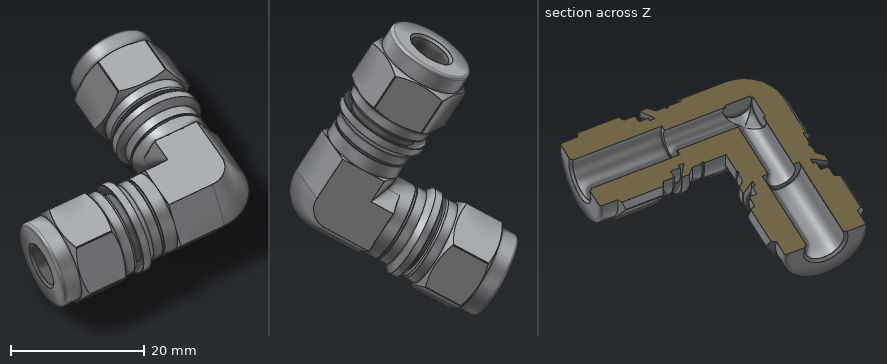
import cadquery as cq
import math


nut_hex_start = 2.97
nut_hex_end = 10.7
nut_end = 12.6
flange_start = 13.58
neck_end = 14.2
flange_rim_end = 14.83
groove_start = 17.4
groove_end = 17.8
elbow_start = 20.02

nut_across_flats = 14.3
nut_corner_radius = 8.2
overall_size = 35.82
arm_length = overall_size - nut_corner_radius
nose_radius = 13.9 / 2
nose_fillet = 0.45
skirt_radius = 13.6 / 2
skirt_chamfer_length = 0.32
skirt_chamfer_height = 0.15
corner_bevel_angle = 30

neck_radius = 11.1 / 2
root_radius = 10.1 / 2
flange_radius = 14.6 / 2
shank_radius = 12.6 / 2
flange_lip = 0.18
dish_depth = 1.45
groove_depth = 0.25

block_corner_radius = 2 * shank_radius / math.sqrt(3)
block_length = arm_length - elbow_start

tube_radius = 6.55 / 2
tube_depth = 15.25
mouth_chamfer = 0.43
flow_radius = 4.85 / 2


def revolve_along_x(points):
    """Revolve a closed (station, radius) profile about the X arm's axis."""
    placed = [(station - arm_length, radius) for station, radius in points]
    return cq.Workplane("XY").polyline(placed).close().revolve(360, (0, 0, 0), (1, 0, 0))


def turned_body():
    body = revolve_along_x([
        (0, 0),
        (0, nose_radius),
        (nut_hex_start, nose_radius),
        (nut_hex_end, skirt_radius),
        (nut_end - skirt_chamfer_length, skirt_radius),
        (nut_end, skirt_radius - skirt_chamfer_height),
        (nut_end, neck_radius),
        (neck_end, neck_radius),
        (neck_end, root_radius),
        (flange_start + dish_depth, root_radius),
        (flange_start, flange_radius - flange_lip),
        (flange_start, flange_radius),
        (flange_rim_end, flange_radius),
        (flange_rim_end + flange_radius - shank_radius, shank_radius),
        (groove_start, shank_radius),
        (groove_start, shank_radius - groove_depth),
        (groove_end, shank_radius - groove_depth),
        (groove_end, shank_radius),
        (elbow_start, shank_radius),
        (elbow_start, 0),
    ])
    return body.faces("<X").edges().fillet(nose_fillet)


def nut_hexagon():
    """Hexagon with corners toward +Y and -Y, both ends bevelled by a cone."""
    slope = math.tan(math.radians(corner_bevel_angle))
    front_bevel = (nut_corner_radius - nose_radius) * slope
    back_bevel = (nut_corner_radius - skirt_radius) * slope
    hexagon = (
        cq.Workplane("YZ")
        .workplane(offset=nut_hex_start - arm_length)
        .polygon(6, 2 * nut_across_flats / math.sqrt(3))
        .extrude(nut_hex_end - nut_hex_start)
    )
    envelope = revolve_along_x([
        (nut_hex_start, 0),
        (nut_hex_start, nose_radius),
        (nut_hex_start + front_bevel, nut_corner_radius),
        (nut_hex_end - back_bevel, nut_corner_radius),
        (nut_hex_end, skirt_radius),
        (nut_hex_end, 0),
    ])
    return hexagon.intersect(envelope)


def block_arm():
    """Hexagonal outside; the inner corner is replaced by the tangent shank curve."""
    half_flat = block_corner_radius / 2
    tangent_y = -shank_radius * math.cos(math.radians(30))
    tangent_z = shank_radius / 2
    return (
        cq.Workplane("YZ")
        .workplane(offset=-block_length)
        .moveTo(tangent_y, -tangent_z)
        .lineTo(-half_flat, -shank_radius)
        .lineTo(half_flat, -shank_radius)
        .lineTo(block_corner_radius, 0)
        .lineTo(half_flat, shank_radius)
        .lineTo(-half_flat, shank_radius)
        .lineTo(tangent_y, tangent_z)
        .threePointArc((-shank_radius, 0), (tangent_y, -tangent_z))
        .close()
        .extrude(block_length)
    )


def outer_bend():
    """Quarter turn of the hexagon's outer half about the vertical axis."""
    half_flat = block_corner_radius / 2
    outer_half = [
        (0, -shank_radius),
        (half_flat, -shank_radius),
        (block_corner_radius, 0),
        (half_flat, shank_radius),
        (0, shank_radius),
    ]
    full_turn = cq.Workplane("XZ").polyline(outer_half).close().revolve(360, (0, 0, 0), (0, 1, 0))
    quadrant = cq.Workplane("XY").box(
        block_corner_radius, block_corner_radius, 2 * shank_radius, centered=(False, False, True)
    )
    return full_turn.intersect(quadrant)


def arm_bore():
    """Tube socket with a chamfered mouth, then a flow bore reaching past the crossing."""
    return revolve_along_x([
        (0, 0),
        (0, tube_radius + mouth_chamfer),
        (mouth_chamfer, tube_radius),
        (tube_depth, tube_radius),
        (tube_depth, flow_radius),
        (arm_length + flow_radius, flow_radius),
        (arm_length + flow_radius, 0),
    ])


def both_arms(x_arm):
    """Join an X-arm shape with its mirror image on the Y arm (x and y swapped)."""
    y_arm = x_arm.mirror("YZ").rotate((0, 0, 0), (0, 0, 1), -90)
    return x_arm.union(y_arm)


arm = turned_body().union(nut_hexagon()).union(block_arm())
result = both_arms(arm).union(outer_bend()).cut(both_arms(arm_bore()))